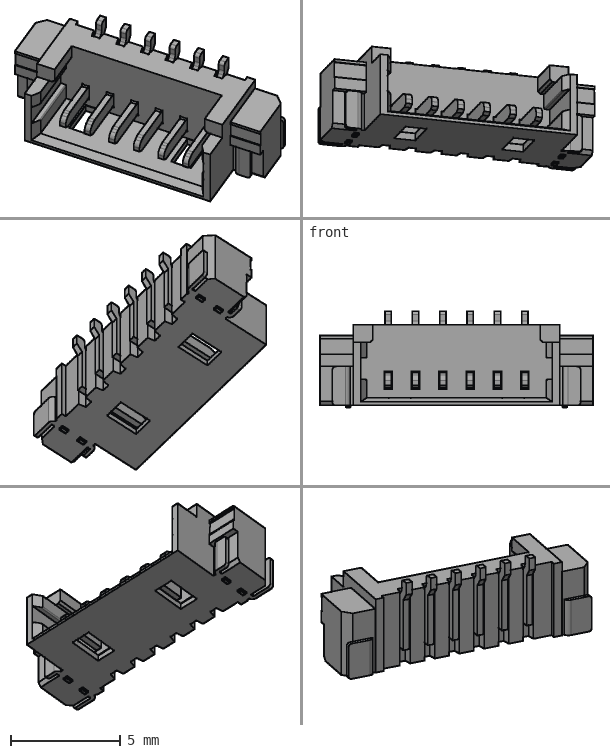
import cadquery as cq


CONTACT_COUNT = 6
PITCH = 1.25
CONTACT_WIDTH = 0.3
ROW_START = -PITCH * (CONTACT_COUNT - 1) / 2
CONTACT_XS = [ROW_START + i * PITCH for i in range(CONTACT_COUNT)]

BODY_WIDTH = 9.45
BODY_HEIGHT = 3.7
BODY_BACK = 4.47
BACK_STRIP_BACK = 4.7
BACK_STRIP_INNER_X = 4.31
FRONT_HEIGHT = 2.9
FRONT_STEP_Y = 1.28
CAVITY_BACK = 3.06
FLOOR = 0.35
TOP_OPENING_WIDTH = 7.64
OVERHANG_CHAMFER = 0.12

RIB_INNER_X = 4.11
GROOVE_INNER_X = 4.38
GROOVE_BOTTOM = 1.19
GROOVE_TOP = 2.18
RIB_ROUND = 0.06
MOUTH_DEPTH = 0.41
MOUTH_FLOOR = 0.16

WINDOW_X = 2.59
WINDOW_WIDTH = 1.01
WINDOW_FRONT = 1.32
WINDOW_BACK = 3.03

NOTCH_FRONT = 4.1
NOTCH_FRONT_WIDTH = 0.38
NOTCH_BACK_WIDTH = 0.52

OVERALL_WIDTH = 12.5
EAR_HEIGHT = 3.2
EAR_FRONT = 2.1
EAR_BACK = 4.66
EAR_CORNER_X = 0.39
EAR_CORNER_Y = 0.41
EAR_LEDGE_Z = 1.78
EAR_LOWER_FRONT = 2.4
LABEL_BOTTOM = 2.34
LABEL_TOP = 3.06
LABEL_DEPTH = 0.05
LABEL_DRAFT = 0.02
EAR_BASE_CHAMFER_Y = 0.16
EAR_BASE_CHAMFER_Z = 0.2

NAIL_THICKNESS = 0.19
NAIL_INNER_X = 4.84
NAIL_BEND_RADIUS = 0.26
FRONT_WING_OUTER_X = 5.68
BACK_WING_OUTER_X = 6.17
WING_CORNER = 0.16
PEG_HEIGHT = 0.1
PEG_WIDTH = 0.23
PEG_LENGTH = 0.38
PEG_CHAMFER = 0.04
PEG_YS = (3.01, 4.06)

BLADE_TIP = 0.71
BLADE_BOTTOM = 0.8
BLADE_TOP = 1.51
BLADE_ROOT_Y = 2.97
BLADE_ROOT_TOP = 1.56
TAIL_BACK = 4.9
TAIL_TOP = BODY_HEIGHT + 0.61
TAIL_FRONT = 4.44
TAIL_CORNER = 0.15
TAIL_BEND_TOP = 3.88
TAIL_BEND_FRONT = 4.37
TAIL_BEND_BOTTOM = 3.68
TAIL_SLOPE_TOP = 3.71
LEG_BACK = 4.6
LEG_SLOPE_BOTTOM = 3.32
FOOT_Y = 4.16
FOOT_TOP = 3.42
FOOT_BOTTOM = 3.37

NOSE_BACK_Y = 1.2
NOSE_SLOPE_BACK_Y = 1.05
NOSE_SLOPE_TOP = 1.48
NOSE_SLOPE_FRONT_Y = 0.9
NOSE_SLOPE_BOTTOM = 1.41
NOSE_ROUND_BOTTOM = 1.14
NOSE_CHAMFER_Y = 0.22
NOSE_CHAMFER_Z = 0.12

SEAT_CLEARANCE = 0.035
SEAT_DEPTH = 0.08
SEAT_BOTTOM = 0.74
SEAT_TOP = 1.56


def block(x_range, y_range, z_range):
    """Box spanning the given limits."""
    lows, highs = zip(x_range, y_range, z_range)
    sizes = [high - low for low, high in zip(lows, highs)]
    return cq.Workplane("XY").box(*sizes, centered=False).translate(lows)


def centred_block(width, y_range, z_range):
    """Box centred on X = 0."""
    return block((-width / 2, width / 2), y_range, z_range)


def both_sides(shape):
    """The shape joined with its mirror image across the YZ plane."""
    return shape.union(shape.mirror("YZ"))


def side_profile(points, x_start, x_end):
    """Prism of a (Y, Z) polygon between two X positions."""
    return cq.Workplane("YZ", origin=(x_start, 0, 0)).polyline(points).close().extrude(x_end - x_start)


def make_shell():
    half = BODY_WIDTH / 2
    shell = centred_block(BODY_WIDTH, (0, BODY_BACK), (0, BODY_HEIGHT))
    strip = block((BACK_STRIP_INNER_X, half), (CAVITY_BACK, BACK_STRIP_BACK), (0, BODY_HEIGHT))
    shell = shell.union(both_sides(strip))
    return shell.cut(centred_block(BODY_WIDTH, (0, FRONT_STEP_Y), (FRONT_HEIGHT, BODY_HEIGHT)))


def make_cavity():
    depth = (0, CAVITY_BACK)
    lower = centred_block(2 * RIB_INNER_X, depth, (FLOOR, FRONT_HEIGHT))
    opening = centred_block(TOP_OPENING_WIDTH, depth, (FRONT_HEIGHT, BODY_HEIGHT))
    overhang_bevel = (
        cq.Workplane("XZ", origin=(0, CAVITY_BACK, 0))
        .moveTo(TOP_OPENING_WIDTH / 2, FRONT_HEIGHT)
        .lineTo(TOP_OPENING_WIDTH / 2 + OVERHANG_CHAMFER, FRONT_HEIGHT)
        .lineTo(TOP_OPENING_WIDTH / 2, FRONT_HEIGHT + OVERHANG_CHAMFER)
        .close()
        .extrude(CAVITY_BACK)
    )
    groove = centred_block(2 * GROOVE_INNER_X, depth, (GROOVE_BOTTOM, GROOVE_TOP))
    cavity = lower.union(opening).union(both_sides(overhang_bevel)).union(groove)
    return cavity.union(make_mouth_bevel())


def make_mouth_bevel():
    """Flare of the side ribs and the floor towards the mating face."""
    mouth_height = FRONT_HEIGHT - MOUTH_FLOOR
    inner_height = FRONT_HEIGHT - FLOOR
    return (
        cq.Workplane("XZ")
        .center(0, MOUTH_FLOOR + mouth_height / 2)
        .rect(2 * GROOVE_INNER_X, mouth_height)
        .workplane(offset=-MOUTH_DEPTH)
        .center(0, (mouth_height - inner_height) / 2)
        .rect(2 * RIB_INNER_X, inner_height)
        .loft(ruled=True)
    )


def round_rib_edges(housing):
    """Round the rib edges that border the side grooves."""
    tolerance = 0.01
    for x in (-RIB_INNER_X, RIB_INNER_X):
        for z in (GROOVE_BOTTOM, GROOVE_TOP):
            selector = cq.selectors.BoxSelector(
                (x - tolerance, MOUTH_DEPTH, z - tolerance),
                (x + tolerance, CAVITY_BACK, z + tolerance),
            )
            housing = housing.edges("|Y").edges(selector).fillet(RIB_ROUND)
    return housing


def make_windows():
    half = WINDOW_WIDTH / 2
    window = block((WINDOW_X - half, WINDOW_X + half), (WINDOW_FRONT, WINDOW_BACK), (0, FLOOR))
    return both_sides(window)


def make_notch(x):
    """Tapered vertical notch through the back wall."""
    return (
        cq.Workplane("XY")
        .polyline(
            [
                (x - NOTCH_FRONT_WIDTH / 2, NOTCH_FRONT),
                (x + NOTCH_FRONT_WIDTH / 2, NOTCH_FRONT),
                (x + NOTCH_BACK_WIDTH / 2, BODY_BACK),
                (x - NOTCH_BACK_WIDTH / 2, BODY_BACK),
            ]
        )
        .close()
        .extrude(BODY_HEIGHT)
    )


def make_ear():
    """Ear on the +X side, with a shallow label recess and a stepped-back lower front."""
    outer = OVERALL_WIDTH / 2
    profile = [
        (EAR_LOWER_FRONT, 0),
        (EAR_BACK, 0),
        (EAR_BACK, EAR_HEIGHT),
        (EAR_FRONT, EAR_HEIGHT),
        (EAR_FRONT, LABEL_TOP),
        (EAR_FRONT + LABEL_DEPTH + LABEL_DRAFT, LABEL_TOP),
        (EAR_FRONT + LABEL_DEPTH, LABEL_BOTTOM),
        (EAR_FRONT, LABEL_BOTTOM),
        (EAR_FRONT, EAR_LEDGE_Z),
        (EAR_LOWER_FRONT, EAR_LEDGE_Z),
    ]
    ear = side_profile(profile, BODY_WIDTH / 2, outer)
    for edge_y, inward in ((EAR_LOWER_FRONT, 1), (EAR_BACK, -1)):
        base_bevel = [
            (edge_y, 0),
            (edge_y + inward * EAR_BASE_CHAMFER_Y, 0),
            (edge_y, EAR_BASE_CHAMFER_Z),
        ]
        ear = ear.cut(side_profile(base_bevel, NAIL_INNER_X + NAIL_BEND_RADIUS, outer))
    corner = (
        cq.Workplane("XY")
        .moveTo(outer, EAR_BACK)
        .lineTo(outer - EAR_CORNER_X, EAR_BACK)
        .lineTo(outer, EAR_BACK - EAR_CORNER_Y)
        .close()
        .extrude(EAR_HEIGHT)
    )
    return ear.cut(corner)


def make_nail():
    """Fitting nail on the +X side, with two pegs under its web."""
    front = EAR_LOWER_FRONT - NAIL_THICKNESS
    back = EAR_BACK + NAIL_THICKNESS
    height = (0, EAR_LEDGE_Z)
    front_wing = block((NAIL_INNER_X, FRONT_WING_OUTER_X), (front, EAR_LOWER_FRONT), height)
    back_wing = block((NAIL_INNER_X, BACK_WING_OUTER_X), (EAR_BACK, back), height)
    front_wing = front_wing.edges("|Y and >X").fillet(WING_CORNER)
    back_wing = back_wing.edges("|Y and >X").fillet(WING_CORNER)
    web = block((NAIL_INNER_X, NAIL_INNER_X + NAIL_THICKNESS), (front, back), height)
    nail = front_wing.union(web).union(back_wing)
    nail = nail.edges("|Z and <X").fillet(NAIL_BEND_RADIUS)
    for y in PEG_YS:
        peg = block(
            (NAIL_INNER_X, NAIL_INNER_X + PEG_WIDTH),
            (y - PEG_LENGTH / 2, y + PEG_LENGTH / 2),
            (-PEG_HEIGHT, PEG_CHAMFER),
        )
        nail = nail.union(peg.faces("<Z").chamfer(PEG_CHAMFER))
    return nail


def make_seat(x):
    """Shallow recess in the cavity back wall around the root of a blade."""
    half = CONTACT_WIDTH / 2 + SEAT_CLEARANCE
    return block((x - half, x + half), (CAVITY_BACK, CAVITY_BACK + SEAT_DEPTH), (SEAT_BOTTOM, SEAT_TOP))


def make_contact(x):
    """Flat contact: mating blade, upright leg in the notch and solder tail."""
    profile = (
        cq.Workplane("YZ", origin=(x - CONTACT_WIDTH / 2, 0, 0))
        .moveTo(BLADE_ROOT_Y, BLADE_TOP)
        .lineTo(NOSE_BACK_Y, BLADE_TOP)
        .tangentArcPoint((NOSE_SLOPE_BACK_Y, NOSE_SLOPE_TOP), relative=False)
        .lineTo(NOSE_SLOPE_FRONT_Y, NOSE_SLOPE_BOTTOM)
        .tangentArcPoint((BLADE_TIP, NOSE_ROUND_BOTTOM), relative=False)
        .lineTo(BLADE_TIP, BLADE_BOTTOM + NOSE_CHAMFER_Z)
        .lineTo(BLADE_TIP + NOSE_CHAMFER_Y, BLADE_BOTTOM)
        .lineTo(LEG_BACK, BLADE_BOTTOM)
        .lineTo(LEG_BACK, LEG_SLOPE_BOTTOM)
        .lineTo(TAIL_BACK, TAIL_SLOPE_TOP)
        .lineTo(TAIL_BACK, TAIL_TOP)
        .lineTo(TAIL_FRONT + TAIL_CORNER, TAIL_TOP)
        .radiusArc((TAIL_FRONT, TAIL_TOP - TAIL_CORNER), -TAIL_CORNER)
        .lineTo(TAIL_FRONT, TAIL_BEND_TOP)
        .tangentArcPoint((TAIL_BEND_FRONT, TAIL_BEND_BOTTOM), relative=False)
        .lineTo(FOOT_Y, FOOT_TOP)
        .lineTo(NOTCH_FRONT, FOOT_BOTTOM)
        .lineTo(NOTCH_FRONT, BLADE_ROOT_TOP)
        .lineTo(CAVITY_BACK, BLADE_ROOT_TOP)
        .close()
    )
    return profile.extrude(CONTACT_WIDTH)


housing = make_shell().cut(make_cavity())
housing = round_rib_edges(housing)
housing = housing.cut(make_windows())
for contact_x in CONTACT_XS:
    housing = housing.cut(make_notch(contact_x)).cut(make_seat(contact_x))

result = housing.union(both_sides(make_ear())).union(both_sides(make_nail()))
for contact_x in CONTACT_XS:
    result = result.union(make_contact(contact_x))